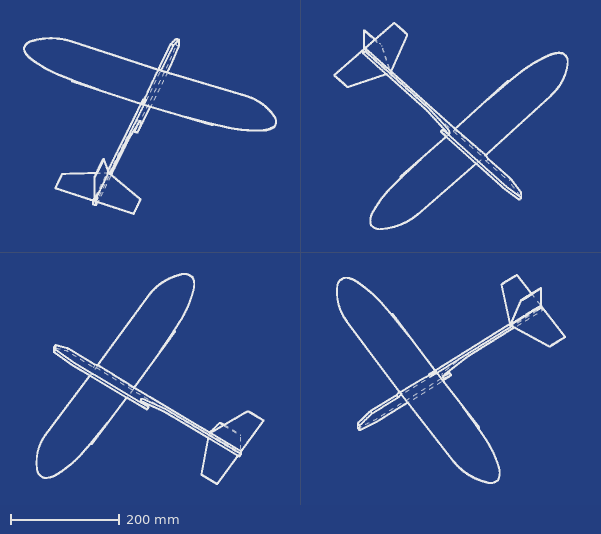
import cadquery as cq
import math


LENGTH = 411.09
HEIGHT = 122.55
FUSELAGE_THICKNESS = 6.0
NOSE_Y = 93.7
TAIL_Y = NOSE_Y - LENGTH
BELLY_Z = -47.2
BOOM_DEPTH = 12.0
BOOM_START_Y = -150.2
NOSE_TOP_Z = -18.0
NOSE_BOTTOM_Z = -38.0
CANOPY_TOP_Y = NOSE_Y - 28.0
CHIN_Y = NOSE_Y - 39.5
SADDLE_FOOT_Y = 6.3
SADDLE_FOOT_Z = -1.5

HOOK_RADIUS = 9.8
HOOK_CENTRE_Y = -105.0
HOOK_LIP_THICKNESS = 2.5
HOOK_LIP_END_Y = -112.6
HOOK_SLOPE_DEG = 15.0

HALF_SPAN = 250.0
ROOT_CHORD = 80.5
WING_THICKNESS = 4.0
TRAILING_EDGE_THICKNESS = 1.0
NOSE_BAND = 17.7
NOSE_EDGE_HEIGHT = 2.3
SPAR_Y = -45.0
TRAILING_CURVE_START = (HALF_SPAN, -46.0)
TRAILING_CURVE_POINTS = [(240, -57.0), (219, -66.0), (166, -76.5), (90, -80.0)]
TRAILING_CURVE_TANGENTS = [(-0.5, -0.87), (-1, 0)]
DIHEDRAL_DEG = 3.0
INCIDENCE_DEG = 3.0
SEAT_OVERLAP = 0.3

TIP_START_X = 173.0
TIP_RADIUS = 106.0
CORNER_RADIUS = 19.0

TAIL_EDGE_FRACTION = 0.4
TAILPLANE_THICKNESS = 3.0
TAILPLANE_HALF_SPAN = 78.0
TAILPLANE_ROOT_CHORD = 69.5
TAILPLANE_TIP_CHORD = 35.0
TAILPLANE_NOSE_BAND = 6.8
ELEVATOR_CHORD = 19.5
FIN_THICKNESS = 2.0
FIN_TOP_Z = BELLY_Z + HEIGHT
FIN_ROOT_CHORD = 70.0
FIN_TIP_CHORD = 45.5
FIN_NOSE_BAND = 10.0
RUDDER_CHORD = 23.0

MARGIN = 5.0


def make_fuselage():
    slope = math.radians(HOOK_SLOPE_DEG)
    lip_top_z = BELLY_Z + HOOK_LIP_THICKNESS
    hook_z = lip_top_z + HOOK_RADIUS
    slope_end = (HOOK_CENTRE_Y + HOOK_RADIUS * math.sin(slope), hook_z + HOOK_RADIUS * math.cos(slope))
    wing_front_z = ROOT_CHORD * math.sin(math.radians(INCIDENCE_DEG))
    return (
        cq.Workplane("YZ", origin=(-FUSELAGE_THICKNESS / 2, 0, 0))
        .moveTo(NOSE_Y, NOSE_BOTTOM_Z)
        .lineTo(NOSE_Y, NOSE_TOP_Z)
        .lineTo(CANOPY_TOP_Y, 0)
        .lineTo(SADDLE_FOOT_Y, SADDLE_FOOT_Z)
        .lineTo(0, wing_front_z + SEAT_OVERLAP)
        .lineTo(-ROOT_CHORD, SEAT_OVERLAP)
        .lineTo(-ROOT_CHORD, 0)
        .lineTo(TAIL_Y, 0)
        .lineTo(TAIL_Y, -BOOM_DEPTH)
        .lineTo(BOOM_START_Y, -BOOM_DEPTH)
        .lineTo(*slope_end)
        .threePointArc((HOOK_CENTRE_Y + HOOK_RADIUS, hook_z), (HOOK_CENTRE_Y, lip_top_z))
        .lineTo(HOOK_LIP_END_Y, lip_top_z)
        .lineTo(HOOK_LIP_END_Y, BELLY_Z)
        .lineTo(CHIN_Y, BELLY_Z)
        .close()
        .extrude(FUSELAGE_THICKNESS)
    )


def wing_section(depth):
    """Wing section in the YZ plane: flat back at Y = 0, rounded nose ending at Y = depth."""
    return (
        cq.Workplane("YZ")
        .moveTo(depth, 0)
        .lineTo(depth, NOSE_EDGE_HEIGHT)
        .ellipseArc(NOSE_BAND, WING_THICKNESS - NOSE_EDGE_HEIGHT, 0, 90)
        .lineTo(0, WING_THICKNESS)
        .lineTo(0, 0)
        .close()
    )


def turned_section(centre, radius, start_deg, end_deg):
    """Wing section turned about a vertical axis, the angles measured clockwise from +Y."""
    return (
        wing_section(radius)
        .revolve(end_deg - start_deg, (0, 0), (0, 1))
        .rotate((0, 0, 0), (0, 0, 1), -end_deg)
        .translate((centre[0], centre[1], 0))
    )


def make_wing_blank():
    """Right half of the wing before its trailing edge is shaped, reaching past the root."""
    turn = math.asin((HALF_SPAN - TIP_START_X - CORNER_RADIUS) / (TIP_RADIUS - CORNER_RADIUS))
    turn_deg = math.degrees(turn)
    tip_centre = (TIP_START_X, -TIP_RADIUS)
    corner_centre = (
        HALF_SPAN - CORNER_RADIUS,
        (TIP_RADIUS - CORNER_RADIUS) * math.cos(turn) - TIP_RADIUS,
    )
    inner = (
        wing_section(TIP_RADIUS)
        .extrude(TIP_START_X + MARGIN)
        .translate((-MARGIN, -TIP_RADIUS, 0))
    )
    tip = turned_section(tip_centre, TIP_RADIUS, 0, turn_deg)
    corner = turned_section(corner_centre, CORNER_RADIUS, turn_deg, 90)
    end_depth = HALF_SPAN - TIP_START_X
    end_length = TIP_RADIUS + corner_centre[1]
    end = (
        wing_section(end_depth)
        .extrude(end_length)
        .rotate((0, 0, 0), (0, 0, 1), -90)
        .translate((TIP_START_X, corner_centre[1], 0))
    )
    return inner.union(tip).union(end).union(corner)


def make_trailing_trim():
    """Prism that keeps what lies ahead of the curved trailing edge."""
    return (
        cq.Workplane("XY", origin=(0, 0, -MARGIN))
        .moveTo(-MARGIN, MARGIN)
        .lineTo(HALF_SPAN + MARGIN, MARGIN)
        .lineTo(HALF_SPAN + MARGIN, TRAILING_CURVE_START[1])
        .lineTo(*TRAILING_CURVE_START)
        .spline(
            TRAILING_CURVE_POINTS + [(0, -ROOT_CHORD)],
            tangents=TRAILING_CURVE_TANGENTS,
            includeCurrent=True,
        )
        .lineTo(-MARGIN, -ROOT_CHORD)
        .close()
        .extrude(WING_THICKNESS + 2 * MARGIN)
    )


def make_taper_cut():
    """Wedge above the sloping face between the spar line and the trailing edge."""
    back_y = -ROOT_CHORD - MARGIN
    above_z = WING_THICKNESS + MARGIN
    return (
        cq.Workplane("YZ", origin=(-2 * MARGIN, 0, 0))
        .moveTo(SPAR_Y, WING_THICKNESS)
        .lineTo(-ROOT_CHORD, TRAILING_EDGE_THICKNESS)
        .lineTo(back_y, TRAILING_EDGE_THICKNESS)
        .lineTo(back_y, above_z)
        .lineTo(SPAR_Y, above_z)
        .close()
        .extrude(HALF_SPAN + 3 * MARGIN)
    )


def make_wing():
    """Level left half and raised right half, joined at X = 0 and tilted to the incidence angle."""
    half = make_wing_blank().intersect(make_trailing_trim()).cut(make_taper_cut())
    right_side = cq.Workplane("XY").box(
        2 * HALF_SPAN, 2 * HALF_SPAN, HALF_SPAN, centered=(False, True, True)
    )
    level = half.intersect(right_side).mirror("YZ")
    raised = half.rotate((0, 0, 0), (0, 1, 0), -DIHEDRAL_DEG).intersect(right_side)
    return level.union(raised).rotate((0, -ROOT_CHORD, 0), (1, -ROOT_CHORD, 0), INCIDENCE_DEG)


def tail_section(x, chord, nose_band, flap_chord, thickness):
    """Flat-bottomed section with a rounded nose at Y = chord and its trailing edge at Y = 0."""
    edge = TAIL_EDGE_FRACTION * thickness
    rise = thickness - edge
    radius = (nose_band**2 + rise**2) / (2 * rise)
    half_turn = math.atan(rise / nose_band)
    band_y = chord - nose_band
    arc_middle_y = band_y + radius * math.sin(half_turn)
    arc_middle_z = thickness - radius * (1 - math.cos(half_turn))
    nose_arc = cq.Edge.makeThreePointArc(
        cq.Vector(x, band_y, thickness),
        cq.Vector(x, arc_middle_y, arc_middle_z),
        cq.Vector(x, chord, edge),
    )
    corners = [(chord, edge), (chord, 0), (0, 0), (0, edge), (flap_chord, thickness), (band_y, thickness)]
    points = [cq.Vector(x, y, z) for y, z in corners]
    sides = [cq.Edge.makeLine(start, end) for start, end in zip(points, points[1:])]
    return cq.Wire.assembleEdges([nose_arc] + sides)


def tail_panel(root_chord, tip_chord, span, nose_band, flap_chord, thickness):
    """Tapered panel from X = 0 to X = span, lying on Z = 0."""
    root = tail_section(0, root_chord, nose_band, flap_chord, thickness)
    tip = tail_section(span, tip_chord, nose_band, flap_chord, thickness)
    return cq.Workplane(cq.Solid.makeLoft([root, tip], True))


def make_tailplane():
    panel = tail_panel(
        TAILPLANE_ROOT_CHORD,
        TAILPLANE_TIP_CHORD,
        TAILPLANE_HALF_SPAN,
        TAILPLANE_NOSE_BAND,
        ELEVATOR_CHORD,
        TAILPLANE_THICKNESS,
    )
    return panel.union(panel.mirror("YZ")).translate((0, TAIL_Y, 0))


def make_fin():
    side = tail_panel(
        FIN_ROOT_CHORD,
        FIN_TIP_CHORD,
        FIN_TOP_Z,
        FIN_NOSE_BAND,
        RUDDER_CHORD,
        FIN_THICKNESS / 2,
    )
    upright = side.union(side.mirror("XY")).rotate((0, 0, 0), (0, 1, 0), -90)
    return upright.translate((0, TAIL_Y, 0))


result = make_fuselage().union(make_wing()).union(make_tailplane()).union(make_fin())